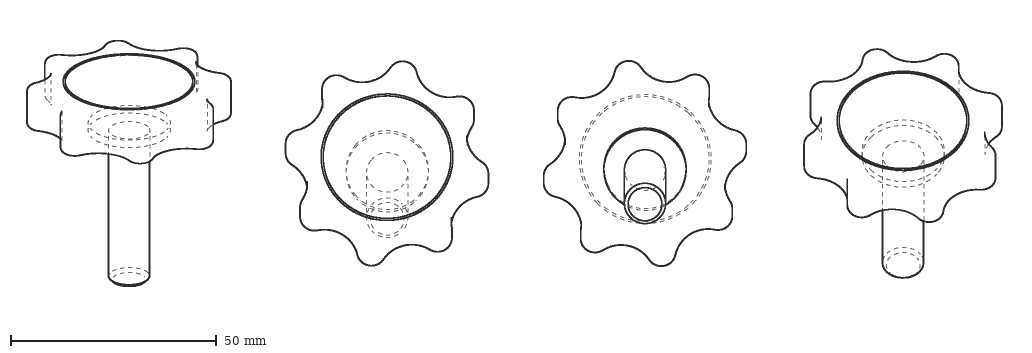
import cadquery as cq
import math

total_height = 56.0
boss_bottom = 40.0
knob_bottom = 42.0
knob_top = 53.0

stud_diameter = 10.0
stud_chamfer = 0.9
boss_diameter = 20.0

lobe_count = 8
grip_diameter = 50.0
tip_radius = grip_diameter / 2
lobe_radius = 3.5
valley_radius = 20.0
rim_fillet = 1.5

dome_radius = 15.5
groove_radius = 0.25

pitch_angle = 2 * math.pi / lobe_count
half_pitch = pitch_angle / 2
lobe_distance = tip_radius - lobe_radius
tangent_offset = valley_radius - lobe_radius
scallop_distance = (lobe_distance**2 - tangent_offset**2) / (
    2 * (lobe_distance * math.cos(half_pitch) - tangent_offset)
)
scallop_radius = scallop_distance - valley_radius


def polar(radius, angle):
    """Point at a distance and angle from the knob axis."""
    return (radius * math.cos(angle), radius * math.sin(angle))


def lobe_joint(angle, side):
    """Tangent point of a lobe with the scallop before (-1) or after (+1) it."""
    lobe_x, lobe_y = polar(lobe_distance, angle)
    scallop_x, scallop_y = polar(scallop_distance, angle + side * half_pitch)
    share = lobe_radius / (lobe_radius + scallop_radius)
    return (lobe_x + share * (scallop_x - lobe_x), lobe_y + share * (scallop_y - lobe_y))


def make_grip():
    """Lobed disc with rounded upper and lower rims."""
    outline = cq.Workplane("XY", origin=(0, 0, knob_bottom)).moveTo(*lobe_joint(0, -1))
    for index in range(lobe_count):
        angle = index * pitch_angle
        outline = outline.threePointArc(polar(tip_radius, angle), lobe_joint(angle, 1))
        outline = outline.threePointArc(
            polar(valley_radius, angle + half_pitch), lobe_joint(angle + pitch_angle, -1)
        )
    grip = outline.close().extrude(knob_top - knob_bottom)
    return grip.faces("<Z or >Z").edges().fillet(rim_fillet)


def make_dome():
    """Spherical cap rising from the top face of the grip."""
    rise = total_height - knob_top
    sphere_radius = (dome_radius**2 + rise**2) / (2 * rise)
    middle_radius = dome_radius / 2
    middle_height = total_height - sphere_radius + math.sqrt(sphere_radius**2 - middle_radius**2)
    return (
        cq.Workplane("XZ")
        .moveTo(0, knob_top)
        .lineTo(dome_radius, knob_top)
        .threePointArc((middle_radius, middle_height), (0, total_height))
        .close()
        .revolve(360, (0, 0, 0), (0, 1, 0))
    )


def make_groove():
    """Ring that cuts a half-round groove just outside the dome."""
    return (
        cq.Workplane("XZ")
        .center(dome_radius + groove_radius, knob_top)
        .circle(groove_radius)
        .revolve(360, (-dome_radius - groove_radius, 0, 0), (-dome_radius - groove_radius, 1, 0))
    )


def make_boss():
    """Round boss under the grip, whose lower face carries the stud."""
    boss = cq.Workplane("XY", origin=(0, 0, boss_bottom))
    return boss.circle(boss_diameter / 2).extrude(knob_bottom - boss_bottom)


def make_knob():
    """Grip, dome and boss as one body, with the groove cut around the dome."""
    return make_grip().cut(make_groove()).union(make_dome()).union(make_boss())


def make_stud():
    """Plain stud, chamfered at its free end, that butts against the boss."""
    stud = cq.Workplane("XY").circle(stud_diameter / 2).extrude(boss_bottom)
    return stud.faces("<Z").edges().chamfer(stud_chamfer)


knob = make_knob()
stud = make_stud()
result = cq.Compound.makeCompound([knob.solids().val(), stud.val()])